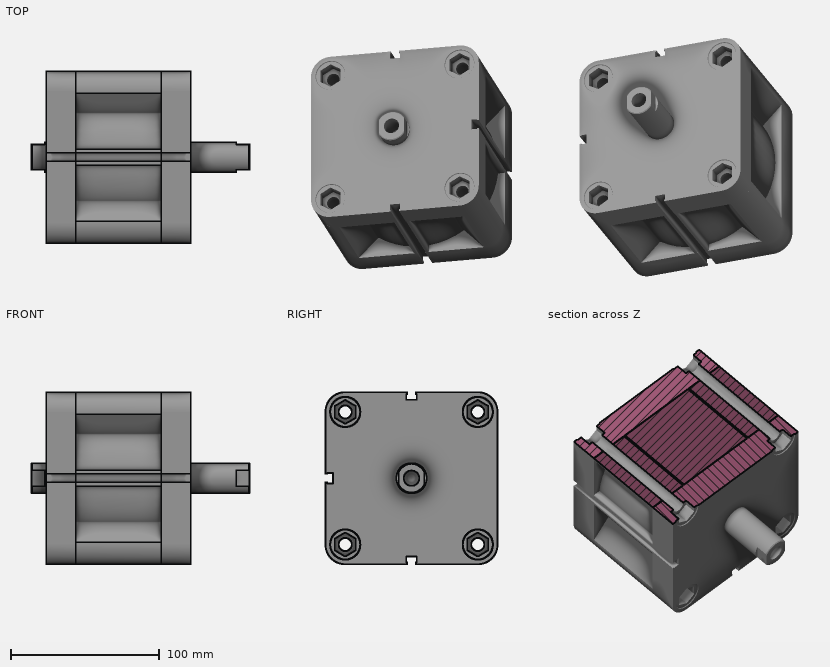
import cadquery as cq
import math

SIDE = 116.0
CAP_THICKNESS = 20.0
BARREL_LENGTH = 57.5
HOUSING_LENGTH = BARREL_LENGTH + 2 * CAP_THICKNESS
CORNER_RADIUS = 13.4
SCREW_OFFSET = SIDE / 2 - CORNER_RADIUS

ROD_LENGTH = 147.0
ROD_REAR_OVERHANG = 10.0
ROD_DIAMETER = 20.5
ROD_CHAMFER = 0.6
FLAT_WIDTH = 17.2
FLAT_LENGTH = 9.0
END_HOLE_DIAMETER = 10.5
END_HOLE_DEPTH = 20.6
DRILL_POINT_ANGLE = 118.0

SCREW_BORE = 8.7
HEX_ACROSS_FLATS = 14.0
HEX_DEPTH = 8.1
HEAD_RECESS_DIAMETER = 20.6
HEAD_RECESS_FLOOR_DIAMETER = 20.0
HEAD_RECESS_DEPTH = 0.6

SLOT_ANGLES = (0, 90, 180)
SLOT_NECK = 5.7
SLOT_WIDTH = 6.9
SLOT_LIP = 1.3
SLOT_DEPTH = 5.1

TUBE_RADIUS = 53.4
BOSS_WIDTH = 20.9
ROOT_FILLET = 0.7
RAIL_WIDTH = 10.9
RAIL_OUTER_FILLET = 0.95
RAIL_LIP_FILLET = 0.51


def section(x):
    """Cross-section plane at a given X, with local x along Y and local y along Z."""
    return cq.Workplane("YZ", origin=(x, 0, 0))


def screw_pattern(plane):
    """Places the four corner screw axes on a cross-section plane."""
    return plane.rect(2 * SCREW_OFFSET, 2 * SCREW_OFFSET, forConstruction=True).vertices()


def turned(shape, angle):
    """Turns a shape about the cylinder axis."""
    return shape.rotate((0, 0, 0), (1, 0, 0), angle)


def t_slot(start, length):
    """Cutter for the T-slot of the top side."""
    top = SIDE / 2
    neck = section(start).center(0, top - SLOT_LIP / 2).rect(SLOT_NECK, SLOT_LIP).extrude(length)
    chamber_height = SLOT_DEPTH - SLOT_LIP
    chamber_middle = top - SLOT_LIP - chamber_height / 2
    chamber = section(start).center(0, chamber_middle).rect(SLOT_WIDTH, chamber_height).extrude(length)
    return neck.union(chamber)


def make_cap():
    """Square end cap whose outer face is at X = 0."""
    cap = section(0).rect(SIDE, SIDE).extrude(CAP_THICKNESS)
    cap = cap.edges("|X").fillet(CORNER_RADIUS)
    cap = cap.cut(section(0).circle(ROD_DIAMETER / 2).extrude(CAP_THICKNESS))
    for angle in SLOT_ANGLES:
        cap = cap.cut(turned(t_slot(0, CAP_THICKNESS), angle))
    return cut_screws(cap)


def cut_screws(cap):
    """Cuts the through bore, hexagon socket and shallow tapered recess at each corner."""
    bores = screw_pattern(section(0)).circle(SCREW_BORE / 2).extrude(CAP_THICKNESS)
    hex_plane = cq.Workplane(cq.Plane(origin=(0, 0, 0), xDir=(0, 0, 1), normal=(1, 0, 0)))
    hex_diameter = HEX_ACROSS_FLATS / math.cos(math.pi / 6)
    sockets = screw_pattern(hex_plane).polygon(6, hex_diameter).extrude(HEAD_RECESS_DEPTH + HEX_DEPTH)
    narrowing = (HEAD_RECESS_DIAMETER - HEAD_RECESS_FLOOR_DIAMETER) / 2
    taper = math.degrees(math.atan(narrowing / HEAD_RECESS_DEPTH))
    rims = screw_pattern(section(0)).circle(HEAD_RECESS_DIAMETER / 2)
    recesses = rims.extrude(HEAD_RECESS_DEPTH, taper=taper)
    return cap.cut(bores).cut(sockets).cut(recesses)


def corner_boss():
    """Web and round-ended boss reaching from the cylinder axis out along +Y."""
    half = BOSS_WIDTH / 2
    screw_distance = SCREW_OFFSET * math.sqrt(2)
    arc_start = screw_distance + math.sqrt(CORNER_RADIUS**2 - half**2)
    return (
        section(CAP_THICKNESS)
        .moveTo(0, -half)
        .lineTo(arc_start, -half)
        .threePointArc((screw_distance + CORNER_RADIUS, 0), (arc_start, half))
        .lineTo(0, half)
        .close()
        .extrude(BARREL_LENGTH)
    )


def slot_rail():
    """Rail on the top side that carries the T-slot, solid until the slot is cut."""
    rail = section(CAP_THICKNESS).center(0, SIDE / 4).rect(RAIL_WIDTH, SIDE / 2).extrude(BARREL_LENGTH)
    return rail.edges("|X and >Z").fillet(RAIL_OUTER_FILLET)


def rail_slot():
    """T-slot cutter of a barrel rail, flared at the mouth so that the lips are rounded."""
    half_neck = SLOT_NECK / 2
    half_mouth = half_neck + RAIL_LIP_FILLET
    top = SIDE / 2
    lip_drop = RAIL_LIP_FILLET * (1 - math.sqrt(0.5))
    mouth = (
        section(CAP_THICKNESS)
        .moveTo(-half_mouth, top)
        .threePointArc((-half_neck - lip_drop, top - lip_drop), (-half_neck, top - RAIL_LIP_FILLET))
        .lineTo(half_neck, top - RAIL_LIP_FILLET)
        .threePointArc((half_neck + lip_drop, top - lip_drop), (half_mouth, top))
        .close()
        .extrude(BARREL_LENGTH)
    )
    return t_slot(CAP_THICKNESS, BARREL_LENGTH).union(mouth)


def on_tube_surface(edge):
    """Tells whether a lengthwise edge is a root, where a boss or rail meets the tube."""
    tolerance = 0.01
    middle = edge.Center()
    return abs(math.hypot(middle.y, middle.z) - TUBE_RADIUS) < tolerance


def make_barrel():
    """Round tube with four corner bosses and a slotted rail on three sides."""
    barrel = section(CAP_THICKNESS).circle(TUBE_RADIUS).extrude(BARREL_LENGTH)
    for angle in (45, 135, 225, 315):
        barrel = barrel.union(turned(corner_boss(), angle))
    for angle in SLOT_ANGLES:
        barrel = barrel.union(turned(slot_rail(), angle))

    barrel = barrel.edges("|X").filter(on_tube_surface).fillet(ROOT_FILLET)
    for angle in SLOT_ANGLES:
        barrel = barrel.cut(turned(rail_slot(), angle))
    barrel = barrel.cut(section(CAP_THICKNESS).circle(ROD_DIAMETER / 2).extrude(BARREL_LENGTH))
    return barrel.cut(screw_pattern(section(CAP_THICKNESS)).circle(SCREW_BORE / 2).extrude(BARREL_LENGTH))


def rod_end_hole():
    """Blind hole with a drill point, entering at X = 0 toward +X."""
    radius = END_HOLE_DIAMETER / 2
    point_length = radius / math.tan(math.radians(DRILL_POINT_ANGLE / 2))
    return (
        cq.Workplane("XY")
        .lineTo(0, radius)
        .lineTo(END_HOLE_DEPTH, radius)
        .lineTo(END_HOLE_DEPTH + point_length, 0)
        .close()
        .revolve(360, (0, 0, 0), (1, 0, 0))
    )


def rod_end_flats():
    """Cutter for the two wrench flats on the rod end at X = 0."""
    around = section(0).rect(2 * ROD_DIAMETER, 2 * ROD_DIAMETER).extrude(FLAT_LENGTH)
    return around.cut(section(0).rect(FLAT_WIDTH, 2 * ROD_DIAMETER).extrude(FLAT_LENGTH))


def make_rod():
    """Through rod with chamfers, wrench flats and a blind hole at both ends."""
    rod = section(0).circle(ROD_DIAMETER / 2).extrude(ROD_LENGTH)
    rod = rod.faces("<X or >X").chamfer(ROD_CHAMFER)
    end_cut = rod_end_hole().union(rod_end_flats())
    far_end_cut = end_cut.mirror("YZ").translate((ROD_LENGTH, 0, 0))
    rod = rod.cut(end_cut).cut(far_end_cut)
    return rod.translate((-ROD_REAR_OVERHANG, 0, 0))


rear_cap = make_cap()
front_cap = make_cap().mirror("YZ").translate((HOUSING_LENGTH, 0, 0))
barrel = make_barrel()
rod = make_rod()

result = cq.Compound.makeCompound([rear_cap.val(), front_cap.val(), barrel.val(), rod.val()])